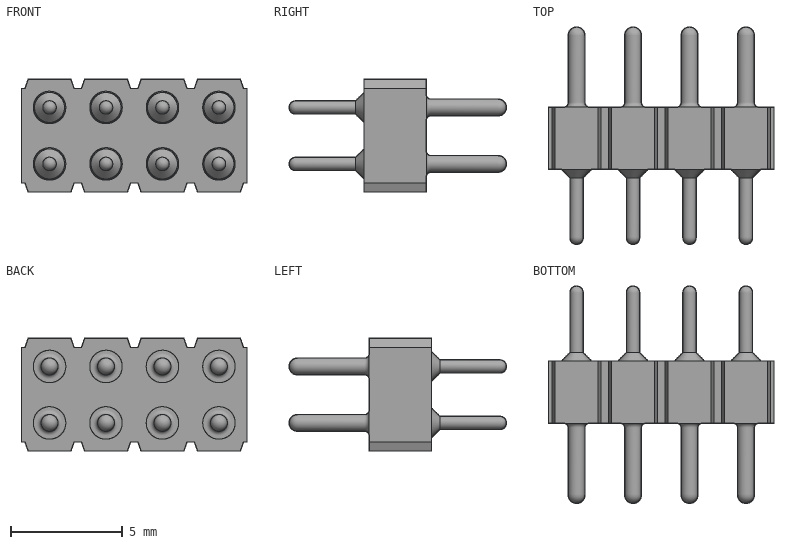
import cadquery as cq

COLUMNS = 4
ROWS = 2
PITCH = 2.54
HOUSING_WIDTH = COLUMNS * PITCH
HOUSING_HEIGHT = ROWS * PITCH
HOUSING_DEPTH = 2.8
NOTCH_DEPTH = 0.41
NOTCH_FLOOR = 0.33
NOTCH_MOUTH = 0.61

BARREL_DIAMETER = 1.46
LIP_LENGTH = 0.2
FRONT_DIAMETER = 0.61
FRONT_REACH = 3.37
CONE_DIAMETER = 1.35
CONE_REACH = 0.38
REAR_DIAMETER = 0.76
REAR_REACH = 3.61
REAR_FILLET = 0.2

FRONT_FACE = -HOUSING_DEPTH / 2
REAR_FACE = HOUSING_DEPTH / 2


def grid_centers():
    """(x, z) of every pin axis."""
    return [
        ((column - (COLUMNS - 1) / 2) * PITCH, (row - (ROWS - 1) / 2) * PITCH)
        for row in range(ROWS)
        for column in range(COLUMNS)
    ]


def make_notch(x, side):
    """Trapezoidal notch along Y, centred on x, in the top (side=1) or bottom (side=-1)."""
    surface = side * HOUSING_HEIGHT / 2
    floor = surface - side * NOTCH_DEPTH
    return (
        cq.Workplane("XZ")
        .polyline([
            (x - NOTCH_MOUTH / 2, surface),
            (x - NOTCH_FLOOR / 2, floor),
            (x + NOTCH_FLOOR / 2, floor),
            (x + NOTCH_MOUTH / 2, surface),
        ])
        .close()
        .extrude(HOUSING_DEPTH / 2, both=True)
    )


def make_housing():
    """Block with notches between the columns, half notches at its ends and a bore per pin."""
    housing = cq.Workplane("XY").box(HOUSING_WIDTH, HOUSING_DEPTH, HOUSING_HEIGHT)
    for boundary in range(COLUMNS + 1):
        x = (boundary - COLUMNS / 2) * PITCH
        for side in (-1, 1):
            housing = housing.cut(make_notch(x, side))
    bores = (
        cq.Workplane("XZ")
        .pushPoints(grid_centers())
        .circle(BARREL_DIAMETER / 2)
        .extrude(HOUSING_DEPTH / 2, both=True)
    )
    return housing.cut(bores)


def make_pin(x, z):
    """Round-ended pin along Y: thin front leg, cone, tapered lip, barrel, fillet and thicker rear leg."""
    front_radius = FRONT_DIAMETER / 2
    rear_radius = REAR_DIAMETER / 2
    barrel_radius = BARREL_DIAMETER / 2
    front_tip = FRONT_FACE - FRONT_REACH
    rear_tip = REAR_FACE + REAR_REACH
    half_profile = (
        cq.Workplane("XY")
        .moveTo(0, front_tip)
        .radiusArc((front_radius, front_tip + front_radius), -front_radius)
        .lineTo(front_radius, FRONT_FACE - CONE_REACH)
        .lineTo(CONE_DIAMETER / 2, FRONT_FACE)
        .lineTo(barrel_radius, FRONT_FACE + LIP_LENGTH)
        .lineTo(barrel_radius, REAR_FACE)
        .lineTo(rear_radius + REAR_FILLET, REAR_FACE)
        .radiusArc((rear_radius, REAR_FACE + REAR_FILLET), REAR_FILLET)
        .lineTo(rear_radius, rear_tip - rear_radius)
        .radiusArc((0, rear_tip), -rear_radius)
        .close()
    )
    pin = half_profile.revolve(360, (0, 0, 0), (0, 1, 0))
    return pin.translate((x, 0, z))


housing = make_housing()
pins = [make_pin(x, z) for x, z in grid_centers()]

result = cq.Compound.makeCompound([housing.val(), *[pin.val() for pin in pins]])